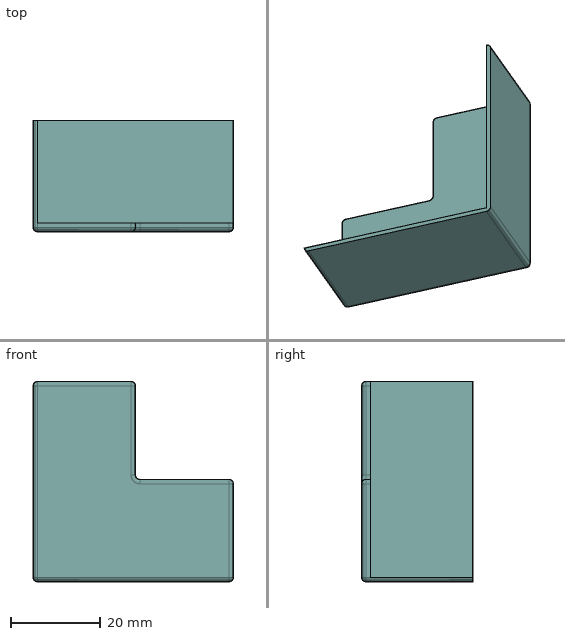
import cadquery as cq

LENGTH = 45.0
DEPTH = 25.0
LEG_WIDTH = 23.0

PLATE_THICKNESS = 2.0
WALL_THICKNESS = 1.0

EDGE_RADIUS = 1.0


def l_prism():
    """Solid L extruded along the full depth, with its front face at Y = 0."""
    return (
        cq.Workplane("XZ")
        .moveTo(0, 0)
        .lineTo(LENGTH, 0)
        .lineTo(LENGTH, LEG_WIDTH)
        .lineTo(LEG_WIDTH + EDGE_RADIUS, LEG_WIDTH)
        .radiusArc((LEG_WIDTH, LEG_WIDTH + EDGE_RADIUS), EDGE_RADIUS)
        .lineTo(LEG_WIDTH, LENGTH)
        .lineTo(0, LENGTH)
        .close()
        .extrude(-DEPTH)
    )


def round_outer_edges(prism):
    """Round the front rim together with the sharp corners that run along Y."""
    sharp_corners = [
        (0, 0),
        (LENGTH, 0),
        (LENGTH, LEG_WIDTH),
        (LEG_WIDTH, LENGTH),
        (0, LENGTH),
    ]
    edges = prism.faces("<Y").edges()
    for x, z in sharp_corners:
        nearest = cq.selectors.NearestToPointSelector((x, DEPTH / 2, z))
        edges = edges.add(prism.edges("|Y").edges(nearest))
    return edges.fillet(EDGE_RADIUS)


def inner_space():
    """Block that empties the part behind the plate, inside the left wall and the floor."""
    block = cq.Workplane("XY").box(LENGTH, DEPTH, LENGTH, centered=False)
    return block.translate((WALL_THICKNESS, PLATE_THICKNESS, WALL_THICKNESS))


result = round_outer_edges(l_prism()).cut(inner_space()).solids()